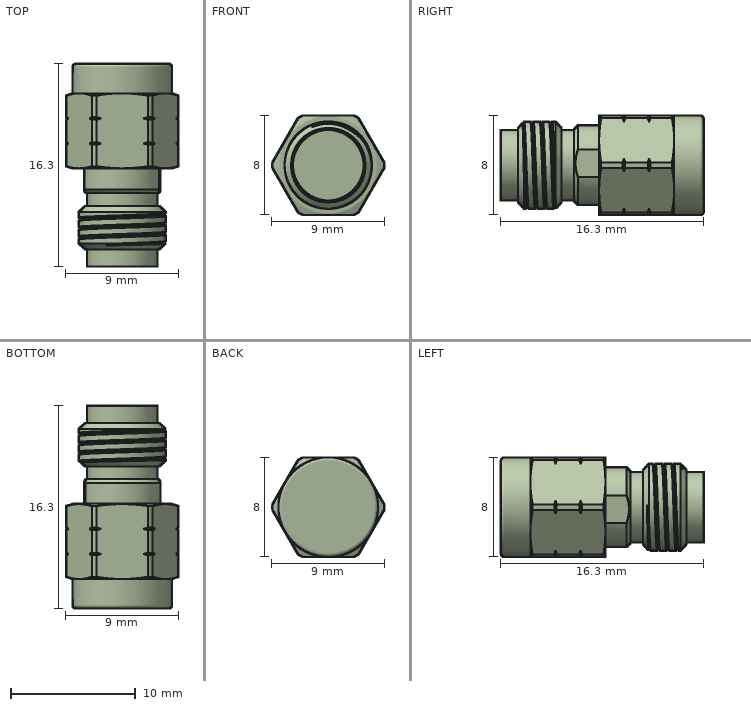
import cadquery as cq
import math


total_length = 16.3
across_flats = 8.0
across_corners = 9.0
hex_front = 7.87
hex_back = 13.92
face_circle_radius = 3.91
front_chamfer_depth = 0.18
back_chamfer_depth = 0.18
hex_sides = 6
notch_count = 2
notch_depth = 0.13
notch_half_width = 0.1
collar_fillet = 0.3

apothem = across_flats / 2
corner_radius = across_corners / 2
hex_length = hex_back - hex_front

barrel_radius = 2.84
thread_front = 1.39
thread_back = 4.89
thread_radius = 3.5
thread_end_radius = 2.98
thread_chamfer_length = 0.49
neck_radius = 3.21
neck_front = 5.9
neck_chamfer = 0.3
flat_distance = 3.02
flat_angle = 3.0

thread_pitch = 0.75
groove_start = 1.19
groove_turns = 5
groove_depth = 0.18
groove_half_width = 0.13
groove_overshoot = 0.08


def revolve_about_y(points):
    """Solid of revolution from (radius, y) points, closed along the axis."""
    profile = cq.Workplane("XY").polyline([(0, points[0][1]), *points, (0, points[-1][1])]).close()
    return profile.revolve(360, (0, 0), (0, 1))


def hex_envelope():
    """Turned outline of the hex: chamfered ends, round corners and V notches."""
    points = [
        (face_circle_radius, hex_front),
        (corner_radius, hex_front + front_chamfer_depth),
    ]
    for i in range(notch_count):
        notch_y = hex_front + hex_length * (i + 1) / (notch_count + 1)
        points += [
            (corner_radius, notch_y - notch_half_width),
            (corner_radius - notch_depth, notch_y),
            (corner_radius, notch_y + notch_half_width),
        ]
    points += [
        (corner_radius, hex_back - back_chamfer_depth),
        (apothem, hex_back),
    ]
    return revolve_about_y(points)


def make_nut():
    sharp_corner_diameter = across_flats / math.cos(math.pi / hex_sides)
    hexagon = (
        cq.Workplane("XZ", origin=(0, hex_back, 0))
        .polygon(hex_sides, sharp_corner_diameter)
        .extrude(hex_length)
        .intersect(hex_envelope())
    )
    collar = (
        cq.Workplane("XZ", origin=(0, total_length, 0))
        .circle(apothem)
        .extrude(total_length - hex_back)
        .faces(">Y")
        .edges()
        .fillet(collar_fillet)
    )
    return hexagon.union(collar)


def thread_groove():
    """V groove swept along the helix, running out through both lead-in chamfers."""
    root_radius = thread_radius - groove_depth
    tool_radius = thread_radius + groove_overshoot
    tool_half_width = groove_half_width * (tool_radius - root_radius) / groove_depth
    helix = cq.Wire.makeHelix(thread_pitch, thread_pitch * groove_turns, root_radius)
    groove = (
        cq.Workplane("XZ")
        .polyline([(root_radius, 0), (tool_radius, tool_half_width), (tool_radius, -tool_half_width)])
        .close()
        .sweep(helix, isFrenet=True)
    )
    return groove.rotate((0, 0, 0), (1, 0, 0), -90).translate((0, groove_start, 0))


def make_neck():
    neck = revolve_about_y([
        (neck_radius - neck_chamfer, neck_front),
        (neck_radius, neck_front + neck_chamfer),
        (neck_radius, hex_front),
    ])
    wrench_slab = (
        cq.Workplane("XZ", origin=(0, hex_front, 0))
        .rect(2 * flat_distance, 2 * neck_radius)
        .extrude(hex_front - neck_front)
        .rotate((0, 0, 0), (0, 1, 0), -flat_angle)
    )
    return neck.intersect(wrench_slab)


def make_barrel():
    """Nose, threaded collar and relief: a grooved bar trimmed to the turned outline."""
    grooved_bar = (
        cq.Workplane("XZ", origin=(0, neck_front, 0))
        .circle(thread_radius)
        .extrude(neck_front)
        .cut(thread_groove())
    )
    outline = revolve_about_y([
        (barrel_radius, 0),
        (barrel_radius, thread_front),
        (thread_end_radius, thread_front),
        (thread_radius, thread_front + thread_chamfer_length),
        (thread_radius, thread_back - thread_chamfer_length),
        (thread_end_radius, thread_back),
        (barrel_radius, thread_back),
        (barrel_radius, neck_front),
    ])
    return outline.intersect(grooved_bar)


def make_connector():
    return make_barrel().union(make_neck())


nut = make_nut()
connector = make_connector()

result = cq.Compound.makeCompound([nut.solids().val(), connector.solids().val()])